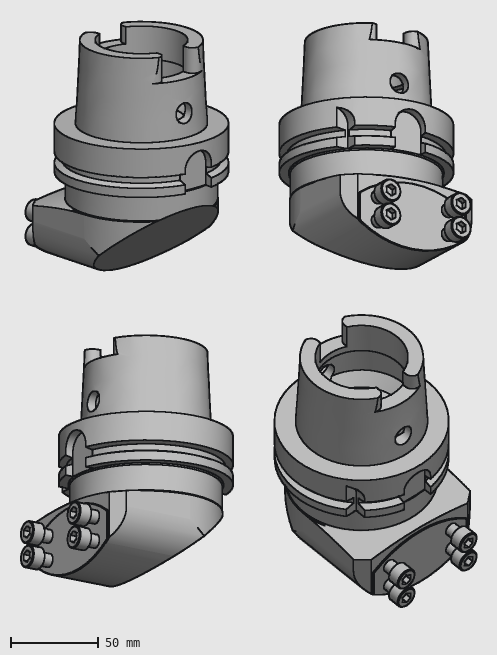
import cadquery as cq
import math


shank_height = 49.9
shank_base_radius = 37.8
taper_per_length = 1 / 20
bore_diameter = 53.1
bore_bottom_z = 30.1
undercut_diameter = 63.0
undercut_bottom_z = 10.2
bore_floor_diameter = 49.2
cross_hole_diameter = 12.0
cross_hole_z = 14.6

slot_width = 20.0
rim_slot_floor_left_z = 39.7
rim_slot_floor_right_z = 34.6
lug_end_radius = 5.0
lug_end_center_x = 26.9
lug_flank_angle = 22.0
lug_flank_length = 14.0

flange_diameter = 99.9
flange_height = 29.0
groove_diameter = 91.1
groove_top_z = -17.1
groove_bottom_z = -23.5
groove_upper_slope_height = 1.0
groove_lower_slope_height = 1.7
key_slot_floor_x = 44.0
key_slot_arc_center_z = -15.0
side_notch_center_y = 41.2
side_notch_floor_x = 31.5

collar_diameter = 87.5
collar_bottom_z = -45.7
collar_fillet = 0.8

head_half_width = 44.0
head_bottom_z = shank_height - 140.1
head_face_x = -50.9
head_bottom_radius = 60.0
head_corner_radius = 24.4
head_corner_top_z = -59.8
head_roof_angle = 15.0
face_chamfer_along_x = 6.7
face_chamfer_along_y = 7.7
back_plane_angle = 40.0
back_plane_bottom_x = -15.3

pad_thickness = 0.5
pad_half_width = 35.2
pad_height = 40.1
pad_corner_radius = 1.4
pad_edge_chamfer = 0.4

screw_tip_x = -66.8
screw_head_diameter = 13.0
screw_head_length = 8.0
screw_head_chamfer = 0.5
screw_shank_diameter = 8.0
screw_socket_flats = 6.0
screw_socket_depth = 4.0
screw_y = 23.4
screw_rows_z = (-62.8, -77.2)

clearance = 84.1


def make_turned_body():
    """Revolve the shank, the grooved flange and the collar with its upper fillet."""
    shank_top_radius = shank_base_radius - shank_height * taper_per_length
    flange_radius = flange_diameter / 2
    groove_radius = groove_diameter / 2
    collar_radius = collar_diameter / 2
    collar_core_z = collar_bottom_z - 7
    profile = (
        cq.Workplane("XZ")
        .moveTo(0, shank_height)
        .lineTo(shank_top_radius, shank_height)
        .lineTo(shank_base_radius, 0)
        .lineTo(flange_radius, 0)
        .lineTo(flange_radius, groove_top_z)
        .lineTo(groove_radius, groove_top_z - groove_upper_slope_height)
        .lineTo(groove_radius, groove_bottom_z + groove_lower_slope_height)
        .lineTo(flange_radius, groove_bottom_z)
        .lineTo(flange_radius, -flange_height)
        .lineTo(collar_radius + collar_fillet, -flange_height)
        .radiusArc((collar_radius, -flange_height - collar_fillet), -collar_fillet)
        .lineTo(collar_radius, collar_core_z)
        .lineTo(0, collar_core_z)
        .close()
    )
    return profile.revolve(360, (0, 0, 0), (0, 1, 0))


def make_bore():
    """Stepped cavity: entry bore, wider undercut, then a cone down to a flat floor."""
    undercut_radius = undercut_diameter / 2
    floor_radius = bore_floor_diameter / 2
    floor_z = undercut_bottom_z - (undercut_radius - floor_radius)
    profile = (
        cq.Workplane("XZ")
        .moveTo(0, shank_height)
        .lineTo(bore_diameter / 2, shank_height)
        .lineTo(bore_diameter / 2, bore_bottom_z)
        .lineTo(undercut_radius, bore_bottom_z)
        .lineTo(undercut_radius, undercut_bottom_z)
        .lineTo(floor_radius, floor_z)
        .lineTo(0, floor_z)
        .close()
    )
    return profile.revolve(360, (0, 0, 0), (0, 1, 0))


def make_cross_hole():
    return (
        cq.Workplane("YZ")
        .center(0, cross_hole_z)
        .circle(cross_hole_diameter / 2)
        .extrude(clearance, both=True)
    )


def make_rim_slot(floor_z, side):
    """Slot from the axis out through one side (+1 or -1), flaring round the lug ends."""
    half_width = slot_width / 2
    center_x = lug_end_center_x
    center_y = half_width + lug_end_radius
    flank_angle = math.radians(lug_flank_angle)
    mid_angle = (flank_angle - math.pi / 2) / 2

    def lug_point(angle):
        return (
            center_x + lug_end_radius * math.cos(angle),
            center_y + lug_end_radius * math.sin(angle),
        )

    def mirrored(point):
        return (point[0], -point[1])

    arc_start = lug_point(-math.pi / 2)
    arc_middle = lug_point(mid_angle)
    arc_end = lug_point(flank_angle)
    flank_end = (
        arc_end[0] - lug_flank_length * math.sin(flank_angle),
        arc_end[1] + lug_flank_length * math.cos(flank_angle),
    )
    outer = (clearance, flank_end[1])
    slot = (
        cq.Workplane("XY", origin=(0, 0, floor_z))
        .moveTo(0, half_width)
        .lineTo(*arc_start)
        .threePointArc(arc_middle, arc_end)
        .lineTo(*flank_end)
        .lineTo(*outer)
        .lineTo(*mirrored(outer))
        .lineTo(*mirrored(flank_end))
        .lineTo(*mirrored(arc_end))
        .threePointArc(mirrored(arc_middle), mirrored(arc_start))
        .lineTo(0, -half_width)
        .close()
        .extrude(clearance)
    )
    return slot if side > 0 else slot.mirror("YZ")


def make_flange_slot(floor_x, center_y, side):
    """Round-topped slot cut inward along X, open at the bottom of the flange."""
    radius = slot_width / 2
    slot = (
        cq.Workplane("YZ", origin=(floor_x, 0, 0))
        .moveTo(center_y - radius, -flange_height)
        .lineTo(center_y - radius, key_slot_arc_center_z)
        .threePointArc(
            (center_y, key_slot_arc_center_z + radius),
            (center_y + radius, key_slot_arc_center_z),
        )
        .lineTo(center_y + radius, -flange_height)
        .close()
        .extrude(clearance)
    )
    return slot if side > 0 else slot.mirror("YZ")


def make_head_section(start_x):
    """Bar along X with a broad rounded underside, from start_x past the axis."""
    arc_center_z = head_bottom_z + head_bottom_radius
    corner_y = head_half_width - head_corner_radius
    tangent_angle = math.atan2(corner_y, arc_center_z - head_corner_top_z)
    tangent_y = head_bottom_radius * math.sin(tangent_angle)
    tangent_z = arc_center_z - head_bottom_radius * math.cos(tangent_angle)
    return (
        cq.Workplane("YZ", origin=(start_x, 0, 0))
        .moveTo(-head_half_width, -flange_height)
        .lineTo(-head_half_width, head_corner_top_z)
        .radiusArc((-tangent_y, tangent_z), -head_corner_radius)
        .threePointArc((0, head_bottom_z), (tangent_y, tangent_z))
        .radiusArc((head_half_width, head_corner_top_z), -head_corner_radius)
        .lineTo(head_half_width, -flange_height)
        .close()
        .extrude(head_half_width - start_x)
    )


def make_head_plan():
    """Plan of the head: bevelled at the face and round about the shank axis."""
    face_half_width = head_half_width - face_chamfer_along_y
    bevel_end_x = head_face_x + face_chamfer_along_x
    return (
        cq.Workplane("XY", origin=(0, 0, head_bottom_z))
        .moveTo(head_face_x, -face_half_width)
        .lineTo(bevel_end_x, -head_half_width)
        .lineTo(0, -head_half_width)
        .threePointArc((head_half_width, 0), (0, head_half_width))
        .lineTo(bevel_end_x, head_half_width)
        .lineTo(head_face_x, face_half_width)
        .close()
        .extrude(-head_bottom_z)
    )


def make_roof():
    """Space under the conical roof, blended into the collar by a small fillet."""
    collar_radius = collar_diameter / 2
    slope = math.radians(head_roof_angle)
    tangent_length = collar_fillet * math.tan((math.pi / 2 - slope) / 2)
    arc_end = (
        collar_radius + tangent_length * math.cos(slope),
        collar_bottom_z - tangent_length * math.sin(slope),
    )
    roof_drop = (clearance - collar_radius) * math.tan(slope)
    profile = (
        cq.Workplane("XZ")
        .moveTo(0, collar_bottom_z + tangent_length)
        .lineTo(collar_radius, collar_bottom_z + tangent_length)
        .radiusArc(arc_end, -collar_fillet)
        .lineTo(clearance, collar_bottom_z - roof_drop)
        .lineTo(clearance, head_bottom_z)
        .lineTo(0, head_bottom_z)
        .close()
    )
    return profile.revolve(360, (0, 0, 0), (0, 1, 0))


def make_pad():
    """Thin lens-shaped pad with cut-off ends, flush with the head underside."""
    top_z = head_bottom_z + pad_height
    arc_drop = head_bottom_radius - math.sqrt(head_bottom_radius**2 - pad_half_width**2)
    return (
        cq.Workplane("YZ", origin=(head_face_x - pad_thickness, 0, 0))
        .moveTo(-pad_half_width, head_bottom_z + arc_drop)
        .threePointArc((0, head_bottom_z), (pad_half_width, head_bottom_z + arc_drop))
        .lineTo(pad_half_width, top_z - arc_drop)
        .threePointArc((0, top_z), (-pad_half_width, top_z - arc_drop))
        .close()
        .extrude(pad_thickness)
        .edges("|X")
        .fillet(pad_corner_radius)
        .faces("<X")
        .chamfer(pad_edge_chamfer)
    )


def make_back_cut():
    """Everything beyond the sloping plane at the back of the head."""
    rise = clearance * math.tan(math.radians(back_plane_angle))
    return (
        cq.Workplane("XZ")
        .moveTo(back_plane_bottom_x, head_bottom_z)
        .lineTo(back_plane_bottom_x + clearance, head_bottom_z + rise)
        .lineTo(back_plane_bottom_x + clearance, head_bottom_z)
        .close()
        .extrude(clearance, both=True)
    )


def make_head():
    head = make_head_section(head_face_x).intersect(make_head_plan()).intersect(make_roof())
    return head.union(make_pad())


def make_screw(y, z):
    """Socket-head screw along X, its shank ending on the head face."""
    shank_length = head_face_x - screw_tip_x
    socket_corner_diameter = screw_socket_flats / math.cos(math.pi / 6)
    tip_plane = cq.Workplane("YZ", origin=(screw_tip_x, y, z))
    head = (
        tip_plane.circle(screw_head_diameter / 2)
        .extrude(screw_head_length)
        .faces("<X")
        .chamfer(screw_head_chamfer)
    )
    shank = tip_plane.circle(screw_shank_diameter / 2).extrude(shank_length)
    socket = (
        tip_plane.transformed(rotate=(0, 0, 90))
        .polygon(6, socket_corner_diameter)
        .extrude(screw_socket_depth)
    )
    return head.union(shank).cut(socket)


result = make_turned_body().union(make_head()).cut(make_back_cut())
result = result.cut(make_bore()).cut(make_cross_hole())
result = result.cut(make_rim_slot(rim_slot_floor_left_z, -1))
result = result.cut(make_rim_slot(rim_slot_floor_right_z, 1))
for side in (-1, 1):
    result = result.cut(make_flange_slot(key_slot_floor_x, 0, side))
result = result.cut(make_flange_slot(side_notch_floor_x, side_notch_center_y, -1))
for screw_z in screw_rows_z:
    for side in (-1, 1):
        result = result.union(make_screw(side * screw_y, screw_z))